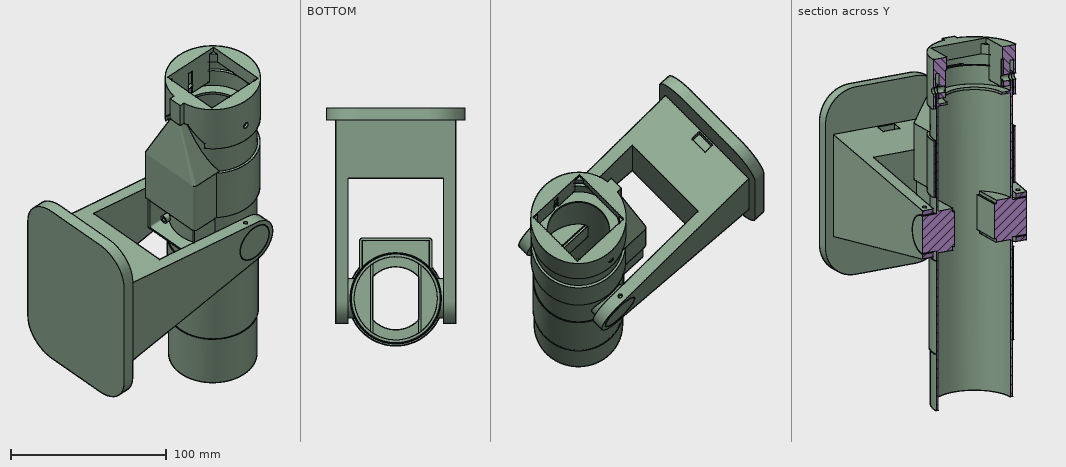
import cadquery as cq
import math

FIT = 0.2
CUTTER = 143.0

TOTAL_HEIGHT = 238.4
SLEEVE_BOTTOM_Z = 38.4
SLEEVE_TOP_Z = 101.5
PIVOT_Z = 120.9
COVER_BOTTOM_Z = 144.7
COVER_TOP_Z = 183.0
CAP_BOTTOM_Z = 204.5
WEDGE_TOP_Z = 221.0

TUBE_R = 57.0 / 2
TUBE_WALL = 1.79
BORE_R = TUBE_R - TUBE_WALL
TUBE_TOP_Z = 220.3
STOP_TOP_Z = 207.6
STOP_THICKNESS = 1.7
STOP_R = 40.3 / 2
TRUNNION_R = 25.5 / 2
PAD_GAPS = (32.2, 29.3)
PAD_HEIGHTS = (28.5, 23.8)

BOX_WIDTH = 43.0
BOX_FRONT_Y = -37.0
BOX_BOTTOM_Z = 118.0
BOX_WALL = 1.7
BOX_FLOOR = 1.2
BOX_FILLET = 1.2
STUD_R = 5.2 / 2
STUD_HOLE_R = 2.6 / 2
STUD_X = 15.7
STUD_Z = 123.2
STUD_FRONT_Y = -28.5
STUD_HOLE_DEPTH = 4.8

SLEEVE_R = 58.6 / 2

COVER_WALL = 1.7
COVER_BORE_R = TUBE_R + FIT
COVER_R = COVER_BORE_R + COVER_WALL
COVER_WIDTH = BOX_WIDTH + 2 * (FIT + COVER_WALL)
COVER_FRONT_Y = BOX_FRONT_Y - FIT - COVER_WALL
COVER_CORNER_R = 2.5
WEDGE_CORNER_R = 0.7
KEY_WIDTH = 9.3
KEY_FRONT_Y = -33.5

CAP_WALL = 2.0
CAP_R = TUBE_R + FIT + CAP_WALL
SQUARE = 41.0
CORNER_SHELF_Z = 234.8
PLUG_R = BORE_R - FIT
CAP_FLOOR_Z = 228.1
TONGUE_BOTTOM_Z = 211.0
CAP_SLOT_WIDTH = 3.3
CAP_SLOT_DEPTH = 1.0
CAP_SLOT_TOP_Z = 229.5
CAP_HOLE_R = 4.0 / 2
CAP_HOLE_Z = 217.0
RELIEF_HALF_WIDTH = 18.0
RELIEF_TIP_HALF_WIDTH = 7.6
RELIEF_SHOULDER_Z = 208.3

ARM_GAP = 61.0
ARM_THICKNESS = 8.0
ARM_TIP_R = 16.2
ARM_ROOT_HALF_HEIGHT = 34.5
YOKE_WIDTH = ARM_GAP + 2 * ARM_THICKNESS
PIVOT_HOLE_R = 26.2 / 2
TOTAL_DEPTH = 152.8
PLATE_FRONT_Y = CAP_R - TOTAL_DEPTH
PLATE_THICKNESS = 7.9
PLATE_BACK_Y = PLATE_FRONT_Y + PLATE_THICKNESS
PLATE_Z = 121.3
PLATE_WIDTH = 89.0
PLATE_HEIGHT = 127.0
PLATE_CORNER_R = 22.2
WEB_BACK_Y = -77.0
SET_SCREW_R = 2.6 / 2
SET_SCREW_OFFSET = -6.7
POCKET_WIDTH = 12.5
POCKET_LENGTH = 6.7
POCKET_Y = -110.0
POCKET_FLOOR_Z = PIVOT_Z + 28.5


def cylinder(radius, bottom, top):
    return cq.Workplane("XY").workplane(offset=bottom).circle(radius).extrude(top - bottom)


def block(x0, x1, y0, y1, z0, z1):
    return cq.Workplane("XY").box(x1 - x0, y1 - y0, z1 - z0, centered=False).translate((x0, y0, z0))


def wide_block(width, y0, y1, z0, z1):
    """A block centred on X = 0."""
    return block(-width / 2, width / 2, y0, y1, z0, z1)


def cross_cylinder(radius, length, z):
    """A cylinder along X, centred on the tube axis."""
    return cq.Workplane("YZ").center(0, z).circle(radius).extrude(length / 2, both=True)


def make_tube():
    tube = make_box()
    tube = tube.union(cylinder(TUBE_R, 0, TUBE_TOP_Z))
    tube = tube.union(cross_cylinder(TRUNNION_R, YOKE_WIDTH, PIVOT_Z))
    for x in (-STUD_X, STUD_X):
        front = cq.Workplane("XZ", origin=(x, STUD_FRONT_Y, STUD_Z))
        tube = tube.union(front.circle(STUD_R).extrude(STUD_FRONT_Y + STOP_R))
        tube = tube.cut(front.circle(STUD_HOLE_R).extrude(-STUD_HOLE_DEPTH))

    tube = tube.cut(cylinder(BORE_R, STOP_TOP_Z, TUBE_TOP_Z))
    tube = tube.cut(cylinder(STOP_R, STOP_TOP_Z - STOP_THICKNESS, STOP_TOP_Z))
    tube = tube.cut(bore_with_pads())
    return tube.cut(cross_cylinder(CAP_HOLE_R, CUTTER, CAP_HOLE_Z))


def make_box():
    """Box with an open front and rounded floor corners."""
    top = COVER_TOP_Z - COVER_WALL - FIT
    box = wide_block(BOX_WIDTH, BOX_FRONT_Y, 0, BOX_BOTTOM_Z, top)
    cavity = wide_block(
        BOX_WIDTH - 2 * BOX_WALL, BOX_FRONT_Y, 0, BOX_BOTTOM_Z + BOX_FLOOR, top - BOX_WALL
    )
    return box.cut(cavity.faces("<Z").edges("|Y").fillet(BOX_FILLET))


def bore_with_pads():
    """The bore below the stop ring, narrowed by stepped flat pads behind the trunnions."""
    bore = cylinder(BORE_R, 0, STOP_TOP_Z - STOP_THICKNESS)
    for gap, height in zip(PAD_GAPS, PAD_HEIGHTS):
        pads = wide_block(2 * BORE_R, -BORE_R, BORE_R, PIVOT_Z - height / 2, PIVOT_Z + height / 2)
        bore = bore.cut(pads.cut(wide_block(gap, -BORE_R, BORE_R, 0, TOTAL_HEIGHT)))
    return bore


def make_lower_sleeve():
    ring = cylinder(SLEEVE_R, SLEEVE_BOTTOM_Z, SLEEVE_TOP_Z)
    return ring.cut(cylinder(TUBE_R + FIT, SLEEVE_BOTTOM_Z, SLEEVE_TOP_Z))


def make_cover():
    sleeve = wide_block(COVER_WIDTH, COVER_FRONT_Y, 0, COVER_BOTTOM_Z, COVER_TOP_Z)
    sleeve = sleeve.edges("|Z and <Y").fillet(COVER_CORNER_R)
    sleeve = sleeve.union(cylinder(COVER_R, COVER_BOTTOM_Z, COVER_TOP_Z))
    box_room = wide_block(
        BOX_WIDTH + 2 * FIT, BOX_FRONT_Y - FIT, 0, COVER_BOTTOM_Z, COVER_TOP_Z - COVER_WALL
    )
    cover = sleeve.cut(box_room).union(make_wedge())
    return cover.cut(cylinder(COVER_BORE_R, COVER_BOTTOM_Z, WEDGE_TOP_Z))


def wedge_outline(width, front_y, corner_r, z):
    """Closed outline from the tube axis to the front, with round front corners."""
    half = width / 2
    bend = corner_r * (1 - math.sqrt(0.5))
    return (
        cq.Workplane("XY").workplane(offset=z)
        .moveTo(-half, 0)
        .lineTo(-half, front_y + corner_r)
        .threePointArc((-half + bend, front_y + bend), (-half + corner_r, front_y))
        .lineTo(half - corner_r, front_y)
        .threePointArc((half - bend, front_y + bend), (half, front_y + corner_r))
        .lineTo(half, 0)
        .close()
        .val()
    )


def make_wedge():
    base = wedge_outline(COVER_WIDTH, COVER_FRONT_Y, COVER_CORNER_R, COVER_TOP_Z)
    tip = wedge_outline(KEY_WIDTH, KEY_FRONT_Y, WEDGE_CORNER_R, WEDGE_TOP_Z)
    return cq.Workplane(cq.Solid.makeLoft([base, tip], True))


def make_cap():
    cap = cylinder(CAP_R, CAP_BOTTOM_Z, TOTAL_HEIGHT)
    cap = cap.union(wide_block(KEY_WIDTH, KEY_FRONT_Y, 0, WEDGE_TOP_Z, TOTAL_HEIGHT))
    cap = cap.cut(cylinder(TUBE_R + FIT, CAP_BOTTOM_Z, CAP_FLOOR_Z))
    cap = cap.cut(wedge_relief())
    cap = cap.union(make_tongues())

    opening = wide_block(SQUARE, -SQUARE / 2, SQUARE / 2, CAP_FLOOR_Z, TOTAL_HEIGHT)
    rounding = cylinder(PLUG_R, CAP_FLOOR_Z, CORNER_SHELF_Z)
    rounding = rounding.union(cylinder(CAP_R, CORNER_SHELF_Z, TOTAL_HEIGHT))
    cap = cap.cut(opening.intersect(rounding))

    slot_width = SQUARE + 2 * CAP_SLOT_DEPTH
    cap = cap.cut(wide_block(
        slot_width, -CAP_SLOT_WIDTH / 2, CAP_SLOT_WIDTH / 2, TONGUE_BOTTOM_Z, CAP_SLOT_TOP_Z
    ))
    return cap.cut(cross_cylinder(CAP_HOLE_R, CUTTER, CAP_HOLE_Z))


def make_tongues():
    """Two tongues hanging from the cap, flat inside and round outside."""
    tongues = cylinder(PLUG_R, TONGUE_BOTTOM_Z, CAP_FLOOR_Z)
    return tongues.cut(wide_block(SQUARE, -PLUG_R, PLUG_R, TONGUE_BOTTOM_Z, CAP_FLOOR_Z))


def wedge_relief():
    """Cut-out in the front of the cap skirt that clears the wedge of the cover."""
    return (
        cq.Workplane("XZ")
        .polyline([
            (-RELIEF_HALF_WIDTH, CAP_BOTTOM_Z),
            (-RELIEF_HALF_WIDTH, RELIEF_SHOULDER_Z),
            (-RELIEF_TIP_HALF_WIDTH, WEDGE_TOP_Z),
            (RELIEF_TIP_HALF_WIDTH, WEDGE_TOP_Z),
            (RELIEF_HALF_WIDTH, RELIEF_SHOULDER_Z),
            (RELIEF_HALF_WIDTH, CAP_BOTTOM_Z),
        ])
        .close()
        .extrude(CUTTER)
    )


def make_yoke():
    yoke = arm_profile().cut(wide_block(ARM_GAP, WEB_BACK_Y, CUTTER, 0, TOTAL_HEIGHT))
    yoke = yoke.cut(cross_cylinder(PIVOT_HOLE_R, CUTTER, PIVOT_Z))

    plate = wide_block(
        PLATE_WIDTH, PLATE_FRONT_Y, PLATE_BACK_Y,
        PLATE_Z - PLATE_HEIGHT / 2, PLATE_Z + PLATE_HEIGHT / 2,
    )
    yoke = yoke.union(plate.edges("|Y").fillet(PLATE_CORNER_R))

    arm_x = (ARM_GAP + ARM_THICKNESS) / 2
    for x in (-arm_x, arm_x):
        yoke = yoke.cut(set_screw_hole().translate((x, 0, 0)))

    pocket_y = POCKET_Y - POCKET_LENGTH / 2
    return yoke.cut(
        wide_block(POCKET_WIDTH, pocket_y, pocket_y + POCKET_LENGTH, POCKET_FLOOR_Z, TOTAL_HEIGHT)
    )


def arm_tangent_angle():
    """Angle above +Y, seen from the pivot, at which the upper arm edge touches the round tip."""
    root_distance = math.hypot(PLATE_BACK_Y, ARM_ROOT_HALF_HEIGHT)
    return math.atan2(ARM_ROOT_HALF_HEIGHT, PLATE_BACK_Y) - math.acos(ARM_TIP_R / root_distance)


def arm_profile():
    """Tapering side outline, tangent to the round tip, across the full width of the yoke."""
    tangent_y = ARM_TIP_R * math.cos(arm_tangent_angle())
    tangent_z = ARM_TIP_R * math.sin(arm_tangent_angle())
    return (
        cq.Workplane("YZ").center(0, PIVOT_Z)
        .moveTo(PLATE_BACK_Y, -ARM_ROOT_HALF_HEIGHT)
        .lineTo(tangent_y, -tangent_z)
        .threePointArc((ARM_TIP_R, 0), (tangent_y, tangent_z))
        .lineTo(PLATE_BACK_Y, ARM_ROOT_HALF_HEIGHT)
        .close()
        .extrude(YOKE_WIDTH / 2, both=True)
    )


def set_screw_hole():
    """Hole square to the sloping upper edge of an arm, opening into the pivot hole."""
    tilt = math.degrees(arm_tangent_angle()) - 90
    hole = cylinder(SET_SCREW_R, 0, 2 * ARM_TIP_R).translate((0, SET_SCREW_OFFSET, 0))
    return hole.rotate((0, 0, 0), (1, 0, 0), tilt).translate((0, 0, PIVOT_Z))


tube = make_tube()
lower_sleeve = make_lower_sleeve()
cover = make_cover()
cap = make_cap()
yoke = make_yoke()

result = cq.Compound.makeCompound(
    [tube.val(), lower_sleeve.val(), cover.val(), cap.val(), yoke.val()]
)